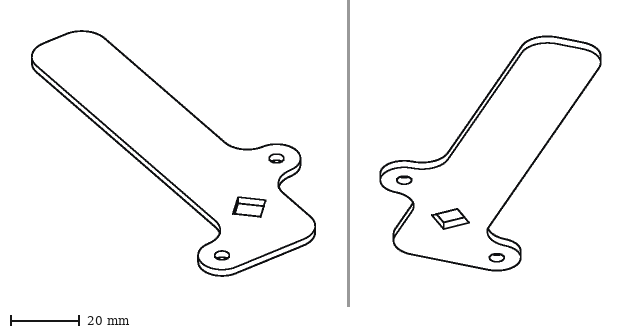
import cadquery as cq

length = 122.0
overall_width = 54.0
thickness = 2.3
arm_width = 24.0

ear_offset_x = 15.0
ear_offset_y = 20.0
ear_hole_diameter = 4.3

square_side = 8.2

arm_half_width = arm_width / 2
ear_radius = overall_width / 2 - ear_offset_y
right_x = ear_offset_x + ear_radius
left_x = right_x - length
upper_ear = (-ear_offset_x, ear_offset_y)
lower_ear = (ear_offset_x, -ear_offset_y)

root_radius = ear_offset_y - arm_half_width
corner_radius = root_radius


def make_plate():
    """Arm and both ears as one outline, traced clockwise from the lower left corner."""
    upper_ear_left = upper_ear[0] - ear_radius
    upper_ear_right = upper_ear[0] + ear_radius
    lower_ear_left = lower_ear[0] - ear_radius
    corner_y = arm_half_width - corner_radius

    return (
        cq.Workplane("XY")
        .moveTo(left_x + corner_radius, -arm_half_width)
        .radiusArc((left_x, -corner_y), corner_radius)
        .lineTo(left_x, corner_y)
        .radiusArc((left_x + corner_radius, arm_half_width), corner_radius)
        .lineTo(upper_ear_left - root_radius, arm_half_width)
        .radiusArc((upper_ear_left, ear_offset_y), -root_radius)
        .threePointArc((upper_ear[0], ear_offset_y + ear_radius), (upper_ear_right, ear_offset_y))
        .radiusArc((upper_ear_right + root_radius, arm_half_width), -root_radius)
        .lineTo(right_x - corner_radius, arm_half_width)
        .radiusArc((right_x, corner_y), corner_radius)
        .lineTo(right_x, -ear_offset_y)
        .threePointArc((lower_ear[0], -ear_offset_y - ear_radius), (lower_ear_left, -ear_offset_y))
        .radiusArc((lower_ear_left - root_radius, -arm_half_width), -root_radius)
        .close()
        .extrude(thickness)
    )


def make_ear_holes():
    return (
        cq.Workplane("XY")
        .pushPoints([upper_ear, lower_ear])
        .circle(ear_hole_diameter / 2)
        .extrude(thickness)
    )


def make_square_hole():
    return (
        cq.Workplane("XY")
        .transformed(rotate=(0, 0, 45))
        .rect(square_side, square_side)
        .extrude(thickness)
    )


result = make_plate().cut(make_ear_holes()).cut(make_square_hole())